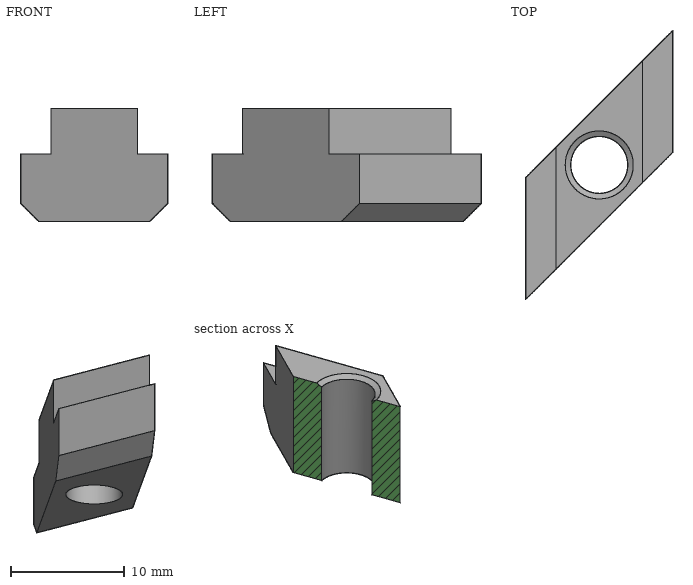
import cadquery as cq

width = 13.0
length = 23.75
height = 10.0

neck_width = 7.65
base_height = 5.98
bottom_chamfer = 1.6

hole_diameter = 5.0
countersink_diameter = 6.0
countersink_angle = 120.0

half_width = width / 2
half_length = length / 2
half_neck = neck_width / 2
side_length = length - width


def t_profile_bar():
    """Bar along Y with a T-shaped section and chamfered lower edges."""
    return (
        cq.Workplane("XZ")
        .moveTo(-half_width + bottom_chamfer, 0)
        .lineTo(half_width - bottom_chamfer, 0)
        .lineTo(half_width, bottom_chamfer)
        .lineTo(half_width, base_height)
        .lineTo(half_neck, base_height)
        .lineTo(half_neck, height)
        .lineTo(-half_neck, height)
        .lineTo(-half_neck, base_height)
        .lineTo(-half_width, base_height)
        .lineTo(-half_width, bottom_chamfer)
        .close()
        .extrude(half_length, both=True)
    )


def rhomboid_block():
    """Upright parallelogram block that sets the slanted ends."""
    corners = [
        (-half_width, -half_length),
        (half_width, half_length - side_length),
        (half_width, half_length),
        (-half_width, -half_length + side_length),
    ]
    return cq.Workplane("XY").polyline(corners).close().extrude(height)


nut = t_profile_bar().intersect(rhomboid_block())

result = (
    nut.faces(">Z")
    .workplane(origin=(0, 0, height))
    .cskHole(hole_diameter, countersink_diameter, countersink_angle)
)